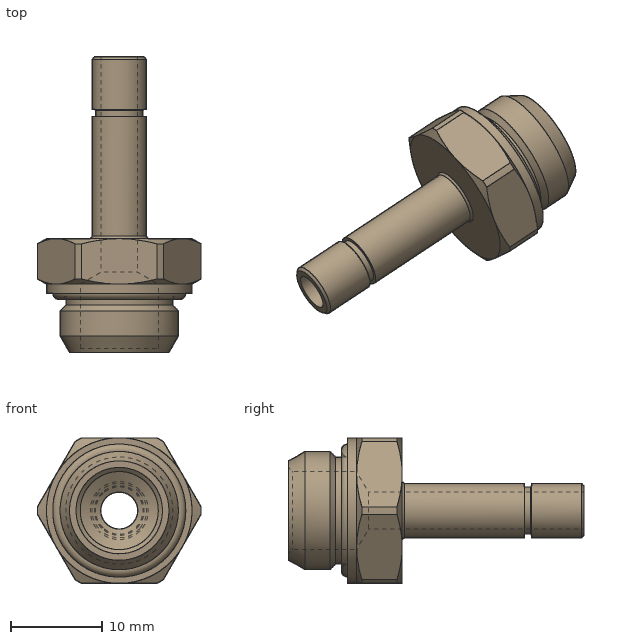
import cadquery as cq
import math

length = 32.5

thread_radius = 6.5
tip_radius = 5.45
tip_end = 1.82
thread_end = 4.58
neck_radius = 5.88
neck_start = thread_end + (thread_radius - neck_radius)
shoulder = 6.5

seal_radius = 7.3
seal_section_radius = (seal_radius - neck_radius) / 2
seal_center_radius = (seal_radius + neck_radius) / 2
seal_center_y = 6.53

across_flats = 16.0
flange_radius = across_flats / 2
hex_start = 7.5
hex_end = 12.5
corner_radius = 9.0
corner_chamfer = (corner_radius - flange_radius) * math.tan(math.radians(30))

stem_radius = 3.0
stem_end_chamfer = 0.3
root_flare_length = 0.25
root_flare_width = 0.2
groove_radius = 2.6
groove_start = 25.95
groove_end = 26.7
groove_chamfer = 0.13

bore_radius = 2.0
socket_mouth_radius = 4.75
socket_radius = 4.3
socket_mouth_depth = 0.45
socket_depth = 7.5
drill_half_angle = math.radians(60)
cone_depth = (socket_radius - bore_radius) / math.tan(drill_half_angle)


def turned(points):
    """Revolve a closed outline of (radius, Y) points about the Y axis."""
    return cq.Workplane("XY").polyline(points).close().revolve(360, (0, 0, 0), (0, 1, 0))


def make_spigot():
    return turned([
        (0, 0),
        (tip_radius, 0),
        (thread_radius, tip_end),
        (thread_radius, thread_end),
        (neck_radius, neck_start),
        (neck_radius, shoulder),
        (flange_radius, shoulder),
        (flange_radius, hex_start),
        (0, hex_start),
    ])


def make_seal():
    section = cq.Workplane("XY").center(seal_center_radius, seal_center_y).circle(seal_section_radius)
    axis_start = (-seal_center_radius, 0, 0)
    axis_end = (-seal_center_radius, 1, 0)
    return section.revolve(360, axis_start, axis_end)


def make_hexagon():
    across_corners = across_flats / math.cos(math.radians(30))
    prism = (
        cq.Workplane("XZ", origin=(0, hex_start, 0))
        .polygon(6, across_corners)
        .extrude(hex_start - hex_end)
    )
    envelope = turned([
        (0, hex_start),
        (flange_radius, hex_start),
        (corner_radius, hex_start + corner_chamfer),
        (corner_radius, hex_end - corner_chamfer),
        (flange_radius, hex_end),
        (0, hex_end),
    ])
    return prism.intersect(envelope)


def make_stem():
    return turned([
        (0, hex_end),
        (stem_radius + root_flare_width, hex_end),
        (stem_radius, hex_end + root_flare_length),
        (stem_radius, groove_start),
        (groove_radius, groove_start),
        (groove_radius, groove_end - groove_chamfer),
        (groove_radius + groove_chamfer, groove_end),
        (stem_radius, groove_end),
        (stem_radius, length - stem_end_chamfer),
        (stem_radius - stem_end_chamfer, length),
        (0, length),
    ])


def make_bore():
    """Socket with a chamfered mouth, drill-point cone and through hole."""
    return turned([
        (0, 0),
        (socket_mouth_radius, 0),
        (socket_radius, socket_mouth_depth),
        (socket_radius, socket_depth),
        (bore_radius, socket_depth + cone_depth),
        (bore_radius, length),
        (0, length),
    ])


body = make_spigot().union(make_seal()).union(make_hexagon()).union(make_stem())
result = body.cut(make_bore())